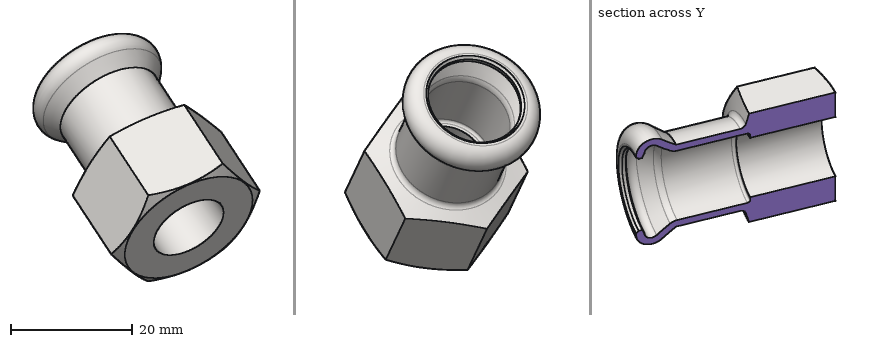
import cadquery as cq
import math

LENGTH = 35.0
HEX_ACROSS_FLATS = 24.0
HEX_CORNER_RADIUS = HEX_ACROSS_FLATS / math.sqrt(3)

BEAD_ROUND_RADIUS = 2.8
BEAD_CENTRE_X = BEAD_ROUND_RADIUS
BEAD_CENTRE_RADIUS = 8.8

NECK_START_X = 7.0
NECK_RADIUS = 18.2 / 2
NECK_FILLET = 1.05

HEX_BACK_CORNER_X = 20.3
HEX_BACK_ANGLE = math.radians(15)
HEX_FRONT_ANGLE = math.radians(30)
HEX_FRONT_FACE_RADIUS = 11.9

MOUTH_RADIUS = 16.7 / 2
LIP_RADIUS = 15.8 / 2
LIP_CHAMFER = MOUTH_RADIUS - LIP_RADIUS
LIP_END_X = 1.1
GROOVE_ROUND_RADIUS = 1.3

SOCKET_RADIUS = 15.2 / 2
SOCKET_END_X = 20.0
SOCKET_ENTRY_FILLET = 2.0
SOCKET_END_FILLET = 0.5
BORE_RADIUS = 13.0 / 2


def flank_angle():
    """Angle to the axis of the line from the neck start that is tangent to the bead."""
    run = NECK_START_X - BEAD_CENTRE_X
    rise = NECK_RADIUS - BEAD_CENTRE_RADIUS
    return math.asin(BEAD_ROUND_RADIUS / math.hypot(run, rise)) - math.atan2(rise, run)


def around_bead(radius, angle):
    """Point on a circle about the bead's round centre; angle measured from +X."""
    return (
        BEAD_CENTRE_X + radius * math.cos(angle),
        BEAD_CENTRE_RADIUS + radius * math.sin(angle),
    )


def revolve(profile):
    return profile.close().revolve(360, (0, 0, 0), (1, 0, 0))


def corner_fillet(before, corner, after, radius):
    """Start, middle and end of an arc rounding the corner between two straight lines."""
    corner = cq.Vector(*corner)
    to_before = (cq.Vector(*before) - corner).normalized()
    to_after = (cq.Vector(*after) - corner).normalized()
    half_angle = to_before.getAngle(to_after) / 2
    setback = radius / math.tan(half_angle)
    bisector = (to_before + to_after).normalized()
    middle = corner + bisector * (radius / math.sin(half_angle) - radius)
    points = (corner + to_before * setback, middle, corner + to_after * setback)
    return [point.toTuple()[:2] for point in points]


def add_fillet(profile, before, corner, after, radius):
    """Draw up to the corner and round it."""
    start, middle, end = corner_fillet(before, corner, after, radius)
    return profile.lineTo(*start).threePointArc(middle, end)


def make_envelope():
    """Round outer shape: bead, neck, and the cones that trim the hexagon's corners."""
    tangent_angle = math.pi / 2 - flank_angle()
    hex_back_corner = (HEX_BACK_CORNER_X, HEX_CORNER_RADIUS)
    neck_start = (NECK_START_X, NECK_RADIUS)
    neck_end_x = HEX_BACK_CORNER_X - (HEX_CORNER_RADIUS - NECK_RADIUS) * math.tan(HEX_BACK_ANGLE)
    neck_end = (neck_end_x, NECK_RADIUS)
    front_chamfer = (HEX_CORNER_RADIUS - HEX_FRONT_FACE_RADIUS) * math.tan(HEX_FRONT_ANGLE)

    profile = (
        cq.Workplane("XY")
        .moveTo(0, 0)
        .lineTo(0, BEAD_CENTRE_RADIUS)
        .threePointArc(
            around_bead(BEAD_ROUND_RADIUS, (math.pi + tangent_angle) / 2),
            around_bead(BEAD_ROUND_RADIUS, tangent_angle),
        )
        .lineTo(*neck_start)
    )
    profile = (
        add_fillet(profile, neck_start, neck_end, hex_back_corner, NECK_FILLET)
        .lineTo(*hex_back_corner)
        .lineTo(LENGTH - front_chamfer, HEX_CORNER_RADIUS)
        .lineTo(LENGTH, HEX_FRONT_FACE_RADIUS)
        .lineTo(LENGTH, 0)
    )
    return revolve(profile)


def make_hex_limit():
    """Hexagonal prism, corners on the Y axis, that is wider than the bead and neck."""
    return cq.Workplane("YZ").polygon(6, 2 * HEX_CORNER_RADIUS).extrude(LENGTH)


def make_cavity():
    """Mouth, seal groove, tube socket and through bore."""
    tangent_angle = math.pi / 2 - flank_angle()
    groove_flank_start = around_bead(GROOVE_ROUND_RADIUS, tangent_angle)
    flank_run = (groove_flank_start[1] - SOCKET_RADIUS) / math.tan(flank_angle())
    socket_mouth = (groove_flank_start[0] + flank_run, SOCKET_RADIUS)
    socket_end = (SOCKET_END_X, SOCKET_RADIUS)
    shoulder_inner = (SOCKET_END_X, BORE_RADIUS)

    profile = (
        cq.Workplane("XY")
        .moveTo(0, 0)
        .lineTo(0, MOUTH_RADIUS)
        .lineTo(LIP_CHAMFER, LIP_RADIUS)
        .lineTo(LIP_END_X, LIP_RADIUS)
        .lineTo(*around_bead(GROOVE_ROUND_RADIUS, math.pi))
        .threePointArc(
            around_bead(GROOVE_ROUND_RADIUS, (math.pi + tangent_angle) / 2),
            groove_flank_start,
        )
    )
    profile = add_fillet(profile, groove_flank_start, socket_mouth, socket_end, SOCKET_ENTRY_FILLET)
    profile = (
        add_fillet(profile, socket_mouth, socket_end, shoulder_inner, SOCKET_END_FILLET)
        .lineTo(*shoulder_inner)
        .lineTo(LENGTH, BORE_RADIUS)
        .lineTo(LENGTH, 0)
    )
    return revolve(profile)


result = make_envelope().intersect(make_hex_limit()).cut(make_cavity())